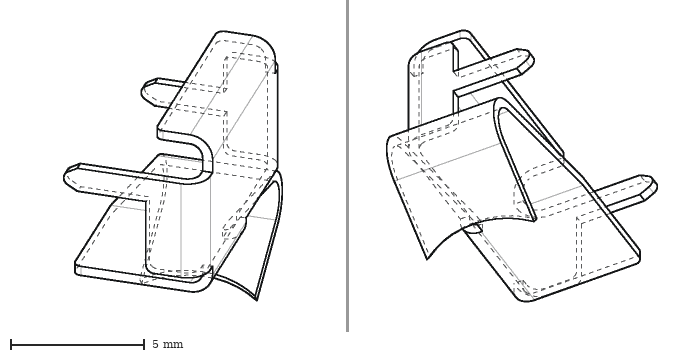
import cadquery as cq
import math


sheet = 0.4
bend_outer = 0.9
bend_inner = bend_outer - sheet
corner_radius = 0.3
depth_x = 5.47
length_y = 13.14
bend_start_x = depth_x - bend_outer

arm_back_y = 10.26
wall_top = 5.24
wall_bottom = 1.04
front_arm_bottom = 1.24
flange_edge_x = 3.22

tine_height = 0.99
back_tine_top = 3.65
nose_radius = 0.32
nose_angle = math.radians(30)

lip_top = 6.71
tab_front_y = 1.17
tab_back_y = 9.17
flange_back_y = 5.45

leaf_width = 4.52
leaf_bend_y = 6.0
slope_angle = math.radians(10)
return_angle = math.radians(35)
curl_outer = 1.39
curl_inner = curl_outer - sheet
return_length = 3.23
end_cut_depth = 0.68


def rounded_corner_block(x, y, z, edges):
    """Block between coordinate pairs with the selected edges rounded."""
    block = cq.Workplane("XY").box(x[1] - x[0], y[1] - y[0], z[1] - z[0], centered=False)
    return block.edges(edges).fillet(corner_radius).translate((x[0], y[0], z[0]))


def quarter_bend(plane, corner, side, start, end):
    """Quarter-round bend on the +X side; corner is its sharp outer corner on the second axis."""
    center = corner - side * bend_outer
    diagonal = math.sqrt(0.5)
    profile = (
        cq.Workplane(plane)
        .moveTo(bend_start_x, corner)
        .threePointArc(
            (bend_start_x + bend_outer * diagonal, center + side * bend_outer * diagonal),
            (depth_x, center),
        )
        .lineTo(depth_x - sheet, center)
        .threePointArc(
            (bend_start_x + bend_inner * diagonal, center + side * bend_inner * diagonal),
            (bend_start_x, corner - side * sheet),
        )
        .close()
    )
    if plane == "XZ":
        return profile.extrude(start - end).translate((0, start, 0))
    return profile.extrude(end - start).translate((0, 0, start))


def tine(top, front_y):
    """Solder tine with a tapered, round-nosed tip pointing towards -X."""
    half_height = tine_height / 2
    middle = top - half_height
    arc_half_height = nose_radius * math.cos(nose_angle)
    arc_x = nose_radius * (1 - math.sin(nose_angle))
    taper_x = arc_x + (half_height - arc_half_height) / math.tan(nose_angle)
    return (
        cq.Workplane("XZ")
        .moveTo(bend_start_x, top)
        .lineTo(taper_x, top)
        .lineTo(arc_x, middle + arc_half_height)
        .threePointArc((0, middle), (arc_x, middle - arc_half_height))
        .lineTo(taper_x, middle - half_height)
        .lineTo(bend_start_x, middle - half_height)
        .close()
        .extrude(-sheet)
        .translate((0, front_y, 0))
    )


def wall():
    wall_x = depth_x - sheet
    front_y = bend_outer
    back_y = arm_back_y - bend_outer
    panel = cq.Workplane("XY").box(
        sheet, back_y - front_y, wall_top - wall_bottom, centered=False
    ).translate((wall_x, front_y, wall_bottom))
    front_notch = cq.Workplane("XY").box(
        sheet, tab_front_y - front_y, front_arm_bottom - wall_bottom, centered=False
    ).translate((wall_x, front_y, wall_bottom))
    upper_web = cq.Workplane("XY").box(
        sheet, tab_back_y - tab_front_y, lip_top - bend_outer - wall_top, centered=False
    ).translate((wall_x, tab_front_y, wall_top))
    lower_web = cq.Workplane("XY").box(
        sheet, flange_back_y - tab_front_y, wall_bottom - bend_outer, centered=False
    ).translate((wall_x, tab_front_y, bend_outer))
    return panel.cut(front_notch).union(upper_web).union(lower_web)


def front_arm():
    plate = rounded_corner_block(
        (flange_edge_x, bend_start_x), (0, sheet), (front_arm_bottom, wall_top), "<X and <Z"
    )
    bend = quarter_bend("XY", 0, -1, front_arm_bottom, wall_top)
    return plate.union(bend).union(tine(wall_top, 0))


def back_arm():
    plate_y = arm_back_y - sheet
    plate = rounded_corner_block(
        (flange_edge_x, bend_start_x), (plate_y, arm_back_y), (wall_bottom, wall_top), "|Y and <X"
    )
    bend = quarter_bend("XY", arm_back_y, 1, wall_bottom, wall_top)
    return plate.union(bend).union(tine(back_tine_top, plate_y))


def top_lip():
    plate = rounded_corner_block(
        (flange_edge_x, bend_start_x), (tab_front_y, tab_back_y), (lip_top - sheet, lip_top), "|Z and <X"
    )
    return plate.union(quarter_bend("XZ", lip_top, 1, tab_front_y, tab_back_y))


def contact_base():
    plate = rounded_corner_block(
        (0, bend_start_x), (tab_front_y, flange_back_y), (0, sheet), "|Z and <X and <Y"
    )
    return plate.union(quarter_bend("XZ", 0, -1, tab_front_y, flange_back_y))


def contact_leaf():
    """Sloping leaf, curl and return leg, with a concave arc cut into the free end."""
    center_y = length_y - curl_outer
    center_z = (
        sheet
        - (center_y - leaf_bend_y) * math.tan(slope_angle)
        - curl_outer / math.cos(slope_angle)
    )

    def upper_tangent(radius):
        return center_y + radius * math.sin(slope_angle), center_z + radius * math.cos(slope_angle)

    def lower_tangent(radius):
        return center_y + radius * math.sin(return_angle), center_z - radius * math.cos(return_angle)

    def leg_end(radius):
        y, z = lower_tangent(radius)
        return y - return_length * math.cos(return_angle), z - return_length * math.sin(return_angle)

    lower_bend_y = leaf_bend_y - sheet * math.tan(slope_angle / 2)
    strip = (
        cq.Workplane("YZ")
        .moveTo(flange_back_y, sheet)
        .lineTo(leaf_bend_y, sheet)
        .lineTo(*upper_tangent(curl_outer))
        .threePointArc((length_y, center_z), lower_tangent(curl_outer))
        .lineTo(*leg_end(curl_outer))
        .lineTo(*leg_end(curl_inner))
        .lineTo(*lower_tangent(curl_inner))
        .threePointArc((center_y + curl_inner, center_z), upper_tangent(curl_inner))
        .lineTo(lower_bend_y, 0)
        .lineTo(flange_back_y, 0)
        .close()
        .extrude(leaf_width)
    )

    end_y, end_z = leg_end(curl_outer)
    leg_plane = cq.Plane(
        origin=(leaf_width / 2, end_y, end_z),
        xDir=(1, 0, 0),
        normal=(0, -math.sin(return_angle), math.cos(return_angle)),
    )
    end_cut = (
        cq.Workplane(leg_plane)
        .moveTo(-leaf_width / 2, 0)
        .threePointArc((0, end_cut_depth), (leaf_width / 2, 0))
        .close()
        .extrude(sheet, both=True)
    )
    return strip.cut(end_cut)


result = (
    wall()
    .union(front_arm())
    .union(back_arm())
    .union(top_lip())
    .union(contact_base())
    .union(contact_leaf())
)